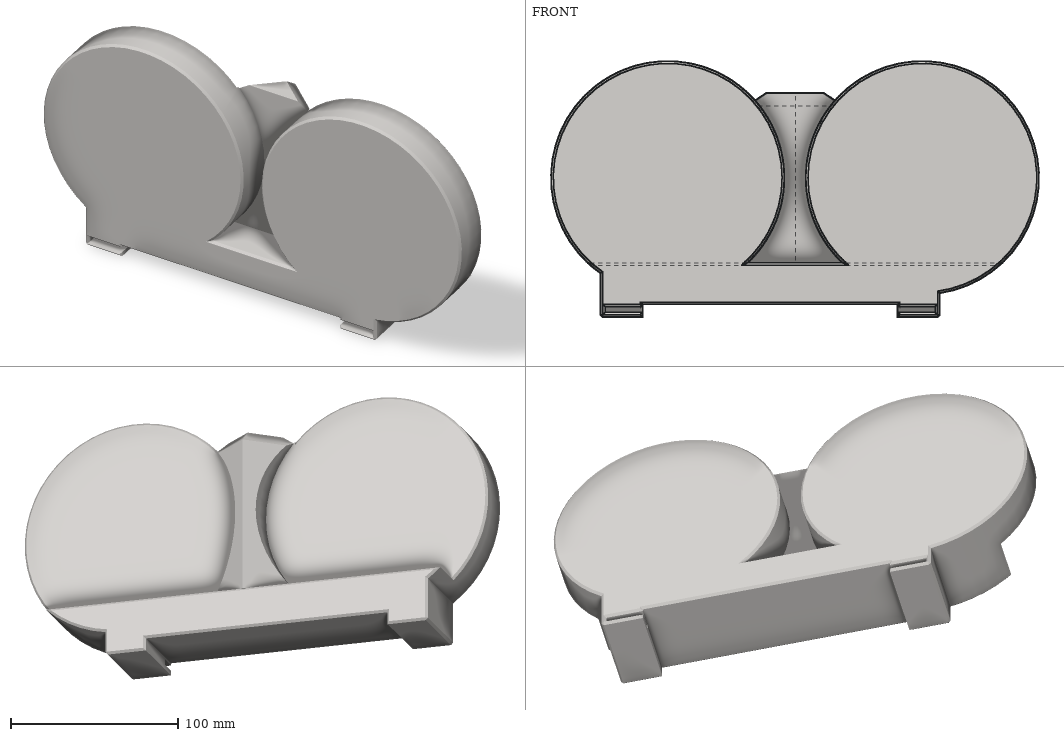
import cadquery as cq
inch = 25.4
disc_radius = 2.75 * inch
disc_spacing = 6 * inch
total_height = 153.23
depth = 2 * inch
disc_depth = depth / 2
chamfer = 1.4

disc_center_z = total_height - disc_radius
disc_center_x = disc_spacing / 2
shelf_z = disc_center_z - 2 * inch

base_left = -116.5
base_width = 8 * inch
base_right = base_left + base_width
foot_width = inch
foot_height = 0.3 * inch

slot_wall = 2.9
slot_height = foot_height - chamfer - slot_wall
slot_depth = 0.5 * inch

post_half_width = 28.6
post_top_z = disc_center_z + 2 * inch
post_apex_y = depth
post_top_chamfer = 0.3 * inch
post_overlap = 0.1
rim_land_x = 24.6


def box(x_min, x_max, y_min, y_max, z_min, z_max):
    """Axis-aligned block given by its limits."""
    size = (x_max - x_min, y_max - y_min, z_max - z_min)
    return cq.Workplane("XY").box(*size, centered=False).translate((x_min, y_min, z_min))


def disc_cylinders(radius):
    """Cylinders on both disc centres, running through the full depth of the part."""
    return (
        cq.Workplane("XZ")
        .pushPoints([(-disc_center_x, disc_center_z), (disc_center_x, disc_center_z)])
        .circle(radius)
        .extrude(-depth)
    )


def make_body():
    """Discs joined by the lower block, full depth below the shelf and half depth above it."""
    base = box(base_left, base_right, 0, depth, 0, shelf_z)
    underside = box(base_left + foot_width, base_right - foot_width, 0, depth, 0, foot_height)
    half_width = disc_center_x + disc_radius
    above_shelf = box(-half_width, half_width, disc_depth, depth, shelf_z, total_height)
    return disc_cylinders(disc_radius).union(base).cut(underside).cut(above_shelf)


def foot_slot(x_min, x_max):
    """Flat slot entering a foot from the front."""
    return box(x_min, x_max, 0, slot_depth, slot_wall, slot_wall + slot_height)


def make_post():
    """Triangular post with a bevelled top, hollowed by the outlines of the two discs."""
    post = (
        cq.Workplane("XY")
        .workplane(offset=shelf_z)
        .moveTo(-post_half_width, disc_depth)
        .lineTo(post_half_width, disc_depth)
        .lineTo(0, post_apex_y)
        .close()
        .extrude(post_top_z - shelf_z)
    )
    post = post.faces(">Z").edges("not <Y").chamfer(post_top_chamfer)
    return post.cut(disc_cylinders(disc_radius - post_overlap))


def rim_lands():
    """Square stretches of the back disc rims, where the post grows out of the discs."""
    gap = box(-rim_land_x, rim_land_x, disc_depth - chamfer, disc_depth, shelf_z, total_height)
    return disc_cylinders(disc_radius).intersect(gap)


def chamfer_body(body):
    """Bevel the front and back outlines, the back disc rims and the outer foot edges."""
    front_edges = body.faces("<Y").edges()
    back_edges = body.faces(">Y").edges()
    foot_outer_edges = body.faces("<Z").edges("|Y").edges("<X or >X")
    rim_plane = cq.selectors.BoxSelector(
        (-disc_center_x * 2, disc_depth - chamfer, shelf_z),
        (disc_center_x * 2, disc_depth + chamfer, total_height),
    )
    disc_rims = body.edges("%CIRCLE").edges(rim_plane)
    return front_edges.add(back_edges).add(foot_outer_edges).add(disc_rims).chamfer(chamfer)


body = make_body()
body = body.cut(foot_slot(base_left + slot_wall, base_left + foot_width))
body = body.cut(foot_slot(base_right - foot_width, base_right - slot_wall))
body = chamfer_body(body)
result = body.union(rim_lands()).union(make_post())